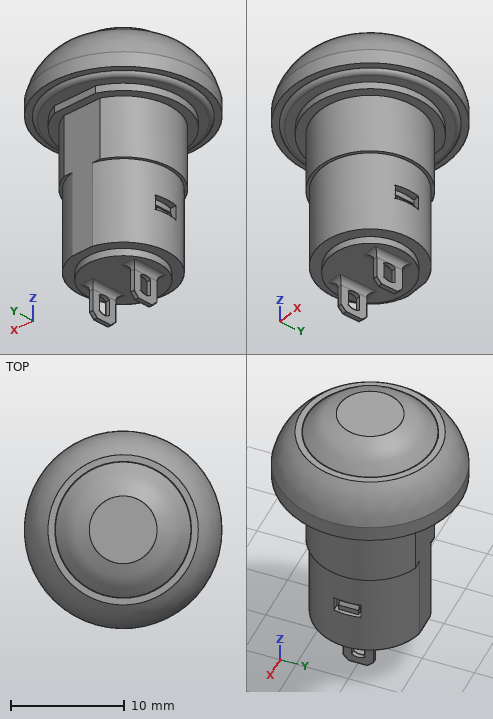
import math

import cadquery as cq

BUTTON_TOP_Z = 7.2
RIM_Z = 5.05
BEZEL_EDGE_Z = 1.5
SEAL_BOTTOM_Z = -0.5
FLANGE_BOTTOM_Z = -1.25
UPPER_BODY_BOTTOM_Z = -7.5
LOWER_BODY_BOTTOM_Z = -16.05
BASE_BOTTOM_Z = -16.8
TERMINAL_TIP_Z = -20.12

BEZEL_DIAMETER = 17.5
RIM_DIAMETER = 13.3
BEZEL_DOME_RADIUS = 6.5
BUTTON_DIAMETER = 12.0
BUTTON_TOP_DIAMETER = 6.0
BUTTON_DOME_RADIUS = 6.0
BUTTON_BORE_DIAMETER = 12.1
BUTTON_GAP_DEPTH = 1.0

SEAL_DIAMETER = 16.1
SEAL_ROUNDING = 0.45
FLANGE_DIAMETER = 13.3
FLANGE_FLAT_Y = 6.15
UPPER_BODY_DIAMETER = 11.4
LOWER_BODY_DIAMETER = 10.8
BODY_FLAT_Y = 5.25
BASE_DIAMETER = 8.6

WINDOW_WIDTH = 2.6
WINDOW_HEIGHT = 1.45
WINDOW_TOP_Z = -10.75
WINDOW_FLOOR_DIAMETER = 9.5
LATCH_WIDTH = 1.9
LATCH_HEIGHT = 0.85
LATCH_SLOPE_HEIGHT = 0.35
LATCH_FACE_X = 5.0

TERMINAL_PITCH = 5.08
TERMINAL_THICKNESS = 0.45
TERMINAL_WIDTH = 2.9
TERMINAL_TIP_CHAMFER = 0.55
TERMINAL_ROOT_FILLET = 0.6
EYE_WIDTH = 1.25
EYE_DIAMETER = 2.0
EYE_CENTER_Z = -18.43


def disc(diameter, bottom_z, top_z):
    return cq.Workplane("XY").workplane(offset=bottom_z).circle(diameter / 2).extrude(top_z - bottom_z)


def arc_middle(start, end, radius):
    """Middle point of the arc that bulges away from the axis, between two (r, z) points."""
    run = end[0] - start[0]
    rise = end[1] - start[1]
    chord = math.hypot(run, rise)
    sagitta = radius - math.sqrt(radius**2 - (chord / 2) ** 2)
    middle_r = (start[0] + end[0]) / 2 + sagitta * rise / chord
    middle_z = (start[1] + end[1]) / 2 - sagitta * run / chord
    return middle_r, middle_z


def domed_disc(base_diameter, top_diameter, bottom_z, edge_z, top_z, dome_radius):
    """Cylinder from bottom_z to edge_z, closed by an arched shoulder and a flat top."""
    edge = (base_diameter / 2, edge_z)
    top = (top_diameter / 2, top_z)
    return (
        cq.Workplane("XZ")
        .moveTo(0, bottom_z)
        .lineTo(base_diameter / 2, bottom_z)
        .lineTo(*edge)
        .threePointArc(arc_middle(edge, top, dome_radius), top)
        .lineTo(0, top_z)
        .close()
        .revolve(360, (0, 0, 0), (0, 1, 0))
    )


def flatted_disc(diameter, flat_y, bottom_z, top_z):
    """Disc cut off by a plane at Y = flat_y."""
    height = top_z - bottom_z
    keep = cq.Workplane("XY").box(diameter, diameter, height, centered=(True, False, False))
    return disc(diameter, bottom_z, top_z).intersect(keep.translate((0, flat_y - diameter, bottom_z)))


def make_head():
    bezel = domed_disc(BEZEL_DIAMETER, RIM_DIAMETER, 0, BEZEL_EDGE_Z, RIM_Z, BEZEL_DOME_RADIUS)
    gap_floor_z = RIM_Z - BUTTON_GAP_DEPTH
    bezel = bezel.cut(disc(BUTTON_BORE_DIAMETER, gap_floor_z, RIM_Z))
    button = domed_disc(
        BUTTON_DIAMETER, BUTTON_TOP_DIAMETER, gap_floor_z, RIM_Z, BUTTON_TOP_Z, BUTTON_DOME_RADIUS
    )
    seal = disc(SEAL_DIAMETER, SEAL_BOTTOM_Z, 0).faces("<Z").edges().fillet(SEAL_ROUNDING)
    return bezel.union(button).union(seal)


def make_body():
    flange = flatted_disc(FLANGE_DIAMETER, FLANGE_FLAT_Y, FLANGE_BOTTOM_Z, SEAL_BOTTOM_Z)
    upper = flatted_disc(UPPER_BODY_DIAMETER, BODY_FLAT_Y, UPPER_BODY_BOTTOM_Z, FLANGE_BOTTOM_Z)
    lower = flatted_disc(LOWER_BODY_DIAMETER, BODY_FLAT_Y, LOWER_BODY_BOTTOM_Z, UPPER_BODY_BOTTOM_Z)
    base = disc(BASE_DIAMETER, BASE_BOTTOM_Z, LOWER_BODY_BOTTOM_Z)
    return flange.union(upper).union(lower).union(base)


def make_windows():
    """Both pockets, from the cylindrical floor out through the body surface."""
    bottom_z = WINDOW_TOP_Z - WINDOW_HEIGHT
    slot = (
        cq.Workplane("XY")
        .box(BEZEL_DIAMETER, WINDOW_WIDTH, WINDOW_HEIGHT, centered=(True, True, False))
        .translate((0, 0, bottom_z))
    )
    return slot.cut(disc(WINDOW_FLOOR_DIAMETER, bottom_z, WINDOW_TOP_Z))


def make_latches():
    """Bar through both windows whose ends are latch noses with sloped tops."""
    bottom_z = WINDOW_TOP_Z - WINDOW_HEIGHT
    top_z = bottom_z + LATCH_HEIGHT
    slope_start_x = WINDOW_FLOOR_DIAMETER / 2
    half_outline = [
        (0, bottom_z),
        (LATCH_FACE_X, bottom_z),
        (LATCH_FACE_X, top_z - LATCH_SLOPE_HEIGHT),
        (slope_start_x, top_z),
        (0, top_z),
    ]
    half = cq.Workplane("XZ").polyline(half_outline).close().extrude(LATCH_WIDTH / 2, both=True)
    return half.union(half.mirror("YZ"))


def make_terminal(x):
    height = BASE_BOTTOM_Z - TERMINAL_TIP_Z
    blade = (
        cq.Workplane("XY")
        .box(TERMINAL_THICKNESS, TERMINAL_WIDTH, height, centered=(True, True, False))
        .faces("<Z")
        .edges("|X")
        .chamfer(TERMINAL_TIP_CHAMFER)
        .translate((x, 0, TERMINAL_TIP_Z))
    )
    eye = (
        cq.Workplane("YZ")
        .circle(EYE_DIAMETER / 2)
        .extrude(TERMINAL_THICKNESS, both=True)
        .intersect(cq.Workplane("XY").box(2 * TERMINAL_THICKNESS, EYE_WIDTH, EYE_DIAMETER))
        .translate((x, 0, EYE_CENTER_Z))
    )
    return blade.cut(eye)


def round_terminal_root(part, x):
    """Fillet the corner where the blade at x leaves the base."""
    margin = 0.1
    reach_x = TERMINAL_THICKNESS / 2 + margin
    reach_y = TERMINAL_WIDTH / 2 + margin
    root = cq.selectors.BoxSelector(
        (x - reach_x, -reach_y, BASE_BOTTOM_Z - margin),
        (x + reach_x, reach_y, BASE_BOTTOM_Z + margin),
    )
    return part.edges(root).fillet(TERMINAL_ROOT_FILLET)


result = make_head().union(make_body())
result = result.cut(make_windows()).union(make_latches())
for terminal_x in (-TERMINAL_PITCH / 2, TERMINAL_PITCH / 2):
    result = result.union(make_terminal(terminal_x))
    result = round_terminal_root(result, terminal_x)